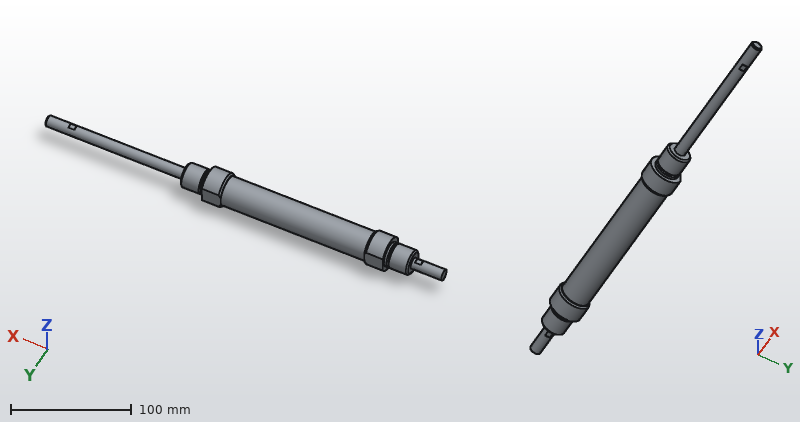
import cadquery as cq

ROD_LENGTH = 368.0
ROD_DIAMETER = 10.0
ROD_RADIUS = ROD_DIAMETER / 2
ROD_TIP_CHAMFER = 1.0
WRENCH_FLAT_LENGTH = 5.5
WRENCH_FLAT_HALF_HEIGHT = 4.5
NEAR_FLAT_START = 20.2
FAR_FLAT_START = 342.0

HOUSING_START = 28.5
HOUSING_LENGTH = 211.2
TUBE_DIAMETER = 26.0
TUBE_RADIUS = TUBE_DIAMETER / 2
HEAD_RADIUS = 15.0
HEAD_FLAT_Y = 13.2
HEAD_LENGTH = 15.5
HEAD_TAPER_LENGTH = 2.0
HEAD_TAPER_DROP = 1.0
NECK_LENGTH = 21.7
NECK_RADIUS = 11.0
NECK_CHAMFER = 1.5
GROOVE_WIDTH = 2.2
GROOVE_DEPTH = 1.0
GROOVE_TO_HEAD = 2.2

HOUSING_MIDDLE = HOUSING_START + HOUSING_LENGTH / 2


def cylinder_along_x(start, length, radius):
    return cq.Workplane("YZ", origin=(start, 0, 0)).circle(radius).extrude(length)


def make_rod():
    rod = cylinder_along_x(0, ROD_LENGTH, ROD_RADIUS).faces(">X").chamfer(ROD_TIP_CHAMFER)
    cutter_height = ROD_RADIUS
    for start in (NEAR_FLAT_START, FAR_FLAT_START):
        for side in (-1, 1):
            cutter = cq.Workplane("XY").box(WRENCH_FLAT_LENGTH, 2 * ROD_RADIUS, cutter_height)
            cutter_z = side * (WRENCH_FLAT_HALF_HEIGHT + cutter_height / 2)
            rod = rod.cut(cutter.translate((start + WRENCH_FLAT_LENGTH / 2, 0, cutter_z)))
    return rod


def make_end_cap():
    """Revolved neck and head of the -X end, with the flat on the head."""
    neck_start = HOUSING_START
    head_start = neck_start + NECK_LENGTH
    head_end = head_start + HEAD_LENGTH
    taper_end = head_end + HEAD_TAPER_LENGTH
    groove_end = head_start - GROOVE_TO_HEAD
    groove_start = groove_end - GROOVE_WIDTH
    groove_radius = NECK_RADIUS - GROOVE_DEPTH
    profile = [
        (neck_start, 0),
        (neck_start, NECK_RADIUS - NECK_CHAMFER),
        (neck_start + NECK_CHAMFER, NECK_RADIUS),
        (groove_start, NECK_RADIUS),
        (groove_start + GROOVE_WIDTH / 2, groove_radius),
        (groove_end, NECK_RADIUS),
        (head_start, NECK_RADIUS),
        (head_start, HEAD_RADIUS),
        (head_end, HEAD_RADIUS),
        (taper_end, HEAD_RADIUS - HEAD_TAPER_DROP),
        (taper_end, 0),
    ]
    cap = cq.Workplane("XY").polyline(profile).close().revolve(360, (0, 0, 0), (1, 0, 0))
    flat_cutter = cq.Workplane("XY").box(
        taper_end - neck_start, HEAD_RADIUS, 2 * HEAD_RADIUS, centered=(False, False, True)
    )
    return cap.cut(flat_cutter.translate((neck_start, HEAD_FLAT_Y, 0)))


def make_housing():
    near_cap = make_end_cap()
    far_cap = near_cap.mirror("YZ", (HOUSING_MIDDLE, 0, 0))
    tube_start = HOUSING_START + NECK_LENGTH + HEAD_LENGTH
    tube_length = 2 * (HOUSING_MIDDLE - tube_start)
    housing = cylinder_along_x(tube_start, tube_length, TUBE_RADIUS).union(near_cap).union(far_cap)
    rod_bore = cylinder_along_x(HOUSING_START, HOUSING_LENGTH, ROD_RADIUS)
    return housing.cut(rod_bore)


rod = make_rod()
housing = make_housing()
result = cq.Compound.makeCompound([rod.val(), housing.val()])